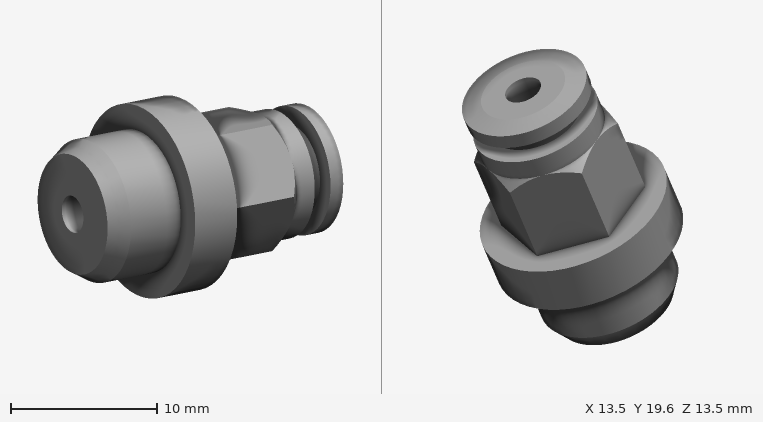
import cadquery as cq
import math

bore_radius = 1.3
spigot_radius = 5.0
flange_radius = 6.752
hex_across_flats = 9.0
collar_radius = hex_across_flats / 2
neck_radius = 3.23
crown_radius = 3.04

spigot_end = 5.5
flange_end = 9.0
hex_end = 15.48
collar_end = 17.0
neck_end = 18.3
ring_rim_end = 19.36
total_length = 19.6

nose_length = 1.4
nose_radius = spigot_radius - nose_length * math.tan(math.radians(30))


def turned(profile):
    """Revolve a (radius, y) outline about the Y axis."""
    return cq.Workplane("XY").polyline(profile).close().revolve(360, (0, 0, 0), (0, 1, 0))


def spigot_and_flange():
    return turned([
        (0, 0),
        (nose_radius, 0),
        (spigot_radius, nose_length),
        (spigot_radius, spigot_end),
        (flange_radius, spigot_end),
        (flange_radius, flange_end),
        (0, flange_end),
    ])


def hexagon():
    """Hexagon with corners on X, its far corners turned off at 45 degrees."""
    corner_radius = hex_across_flats / math.sqrt(3)
    length = hex_end - flange_end
    prism = (
        cq.Workplane("XZ", origin=(0, flange_end, 0))
        .polygon(6, 2 * corner_radius)
        .extrude(-length)
    )
    envelope = turned([
        (0, flange_end),
        (collar_radius + length, flange_end),
        (collar_radius, hex_end),
        (0, hex_end),
    ])
    return prism.intersect(envelope)


def collar_and_release_ring():
    return turned([
        (0, hex_end),
        (collar_radius, hex_end),
        (collar_radius, collar_end),
        (neck_radius, collar_end),
        (neck_radius, neck_end),
        (collar_radius, neck_end),
        (collar_radius, ring_rim_end),
        (crown_radius, total_length),
        (0, total_length),
    ])


bore = cq.Workplane("XZ").circle(bore_radius).extrude(-total_length)

result = (
    spigot_and_flange()
    .union(hexagon())
    .union(collar_and_release_ring())
    .cut(bore)
)